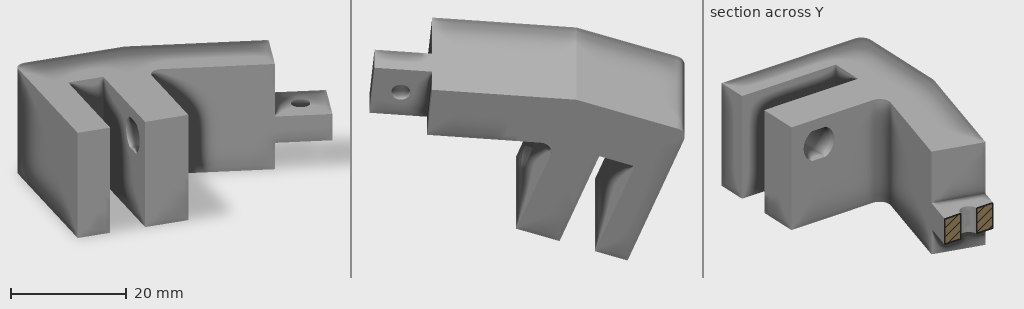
import cadquery as cq
import math

height = 20.0
body_depth = 20.5
finger_length = 20.0
front_finger = 6.0
slot_width = 6.5
corner_radius = 2.0

arm_lean = 15.0
arm_width = 10.0
arm_length = 35.0

tab_length = 10.0
tab_thickness = 5.0
tab_bottom = 5.0
tab_hole_diameter = 3.3

finger_hole_diameter = 6.5
finger_hole_flats = 5.8
finger_hole_inset = 5.85
finger_hole_drop = 5.0

lean = math.radians(arm_lean)
spine_width = arm_width / math.cos(lean)
body_width = spine_width + finger_length
slot_front = front_finger
slot_back = slot_front + slot_width


def arm_point(along, across):
    """XY point at a distance along the arm's outer edge and across it from that edge."""
    x = along * math.sin(lean) + across * math.cos(lean)
    y = body_depth + along * math.cos(lean) - across * math.sin(lean)
    return (x, y)


def make_body():
    """Fork and arm, extruded to full height, with the two rounded corners."""
    outline = [
        (0, 0),
        (body_width, 0),
        (body_width, slot_front),
        (spine_width, slot_front),
        (spine_width, slot_back),
        (body_width, slot_back),
        (body_width, body_depth),
        (spine_width, body_depth),
        arm_point(arm_length, arm_width),
        arm_point(arm_length, 0),
        (0, body_depth),
    ]
    body = cq.Workplane("XY").polyline(outline).close().extrude(height)
    for corner in [(0, 0), (spine_width, body_depth)]:
        edge = cq.selectors.NearestToPointSelector((*corner, height / 2))
        body = body.edges("|Z").edges(edge).fillet(corner_radius)
    return body


def tab_relief(bottom, top):
    """Block covering the tab's plan area between two heights."""
    shoulder = arm_length - tab_length
    corners = [
        arm_point(shoulder, 0),
        arm_point(shoulder, arm_width),
        arm_point(arm_length, arm_width),
        arm_point(arm_length, 0),
    ]
    return cq.Workplane("XY", origin=(0, 0, bottom)).polyline(corners).close().extrude(top - bottom)


def tab_hole():
    """Vertical hole through the middle of the tab."""
    x, y = arm_point(arm_length - tab_length / 2, arm_width / 2)
    return cq.Workplane("XY").center(x, y).circle(tab_hole_diameter / 2).extrude(height)


def finger_hole():
    """Double-D hole along Y through the rear finger only."""
    x = body_width - finger_hole_inset
    z = height - finger_hole_drop
    finger_thickness = body_depth - slot_back
    start = cq.Workplane("XZ", origin=(x, body_depth, z))
    bore = start.circle(finger_hole_diameter / 2).extrude(finger_thickness)
    flats = start.rect(finger_hole_diameter, finger_hole_flats).extrude(finger_thickness)
    return bore.intersect(flats)


result = (
    make_body()
    .cut(tab_relief(0, tab_bottom))
    .cut(tab_relief(tab_bottom + tab_thickness, height))
    .cut(tab_hole())
    .cut(finger_hole())
)